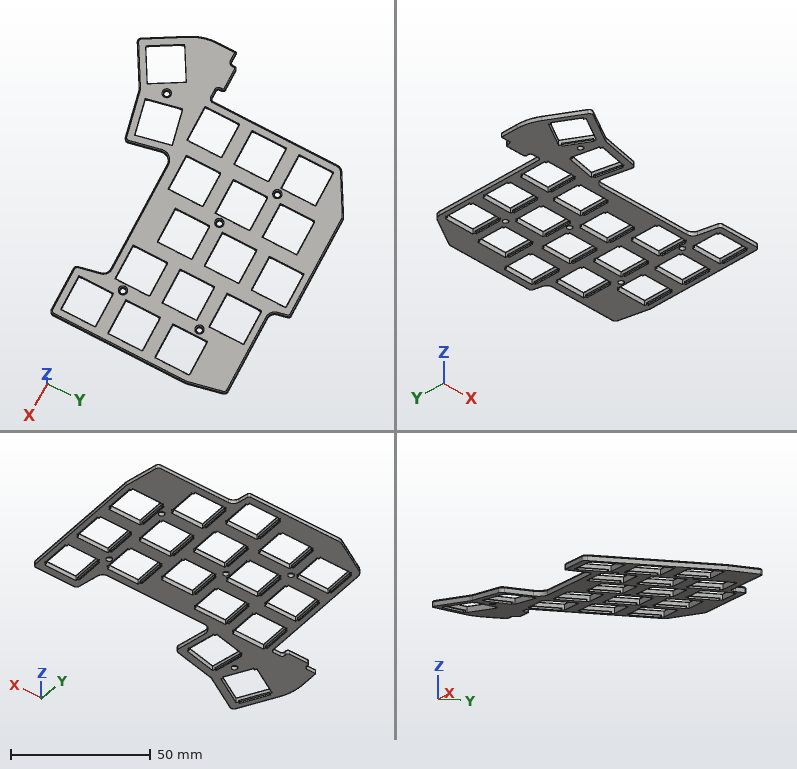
import cadquery as cq
import math


plate_length = 116.2
plate_depth = 95.9
plate_thickness = 2.2
edge_chamfer = 0.5

key_pitch = 19.0
key_opening = 14.0
clip_notch_length = 12.0
clip_notch_depth = 0.8
clip_lip_thickness = 1.5
key_margin = 10.0
rows = 3
column_drops = [8.0, 5.6, 0.0, 7.1, key_pitch]

last_column_x = plate_length - key_margin
first_column_x = last_column_x - (len(column_drops) - 1) * key_pitch
top_key_y = plate_depth - key_margin
column_xs = [first_column_x + i * key_pitch for i in range(len(column_drops))]
column_tops = [top_key_y - drop for drop in column_drops]
column_bottoms = [top - (rows - 1) * key_pitch for top in column_tops]

sharp = 0.0
tab_radius = 1.0
corner_radius = 1.5
bend_radius = 3.0
inner_bend_radius = 3.5
joint_radius = 4.0
thumb_side_radius = 20.0

side_tilt = 12.0
thumb_tilt = 30.0
tilt_reach = math.sin(math.radians(thumb_tilt)) + math.cos(math.radians(thumb_tilt))
outer_thumb_y = (key_margin - corner_radius) * tilt_reach + corner_radius
outer_thumb = (15.7, outer_thumb_y, thumb_tilt)
inner_thumb = (35.8, 20.7, side_tilt)

shelf_y = 33.5
tab_top_y = 36.3
tab_left_x = 4.9
tab_right_x = 14.9

upper_left_slope_y = 86.6
top_edge_right_x = 77.5
upper_right_x = 113.1
lower_right_x = 96.6

screw_diameter = 2.3
thumb_screw = (25.1, 18.4)


def thumb_corner(key, side):
    """Plate corner below a tilted thumb key; side is -1 for left, 1 for right."""
    x, y, tilt = key
    angle = math.radians(tilt)
    local_x = side * key_margin
    local_y = -key_margin
    return (
        x + local_x * math.cos(angle) - local_y * math.sin(angle),
        y + local_x * math.sin(angle) + local_y * math.cos(angle),
    )


def sloped_x(point, y):
    """X at height y on the side edge through point, tilted like the inner thumb key."""
    return point[0] - (y - point[1]) * math.tan(math.radians(side_tilt))


def thumb_joint(left_corner, right_corner):
    """Point where the edges below the two thumb keys meet."""
    left_slope = math.tan(math.radians(thumb_tilt))
    right_slope = math.tan(math.radians(side_tilt))
    left_rise = left_corner[1] - left_slope * left_corner[0]
    right_rise = right_corner[1] - right_slope * right_corner[0]
    x = (right_rise - left_rise) / (left_slope - right_slope)
    return (x, left_rise + left_slope * x)


def outline_corners():
    """Corners as (point, radius), counter-clockwise from the thumb cluster's lowest corner."""
    wall_x = first_column_x - key_margin
    lower_edge_y = column_bottoms[3] - key_margin
    right_bottom_y = column_bottoms[4] - key_margin
    step_y = column_tops[3] + key_margin
    slope_rise = plate_depth - upper_left_slope_y
    slope_end_x = wall_x + slope_rise / math.tan(math.radians(thumb_tilt))
    right_slope_drop = (plate_length - upper_right_x) / math.tan(math.radians(side_tilt))

    thumb_low = thumb_corner(outer_thumb, -1)
    thumb_right = thumb_corner(inner_thumb, 1)
    thumb_side_y = thumb_low[1] + thumb_low[0] / math.tan(math.radians(thumb_tilt))
    lower_right = (lower_right_x, right_bottom_y)
    top_right = (top_edge_right_x, plate_depth)

    return [
        (thumb_low, corner_radius),
        (thumb_joint(thumb_low, thumb_right), joint_radius),
        (thumb_right, corner_radius),
        ((sloped_x(thumb_right, lower_edge_y), lower_edge_y), inner_bend_radius),
        ((sloped_x(lower_right, lower_edge_y), lower_edge_y), bend_radius),
        (lower_right, corner_radius),
        ((plate_length, right_bottom_y), corner_radius),
        ((plate_length, step_y - right_slope_drop), sharp),
        ((upper_right_x, step_y), corner_radius),
        ((sloped_x(top_right, step_y), step_y), bend_radius),
        (top_right, tab_radius),
        ((slope_end_x, plate_depth), bend_radius),
        ((wall_x, upper_left_slope_y), bend_radius),
        ((wall_x, shelf_y), tab_radius),
        ((tab_right_x, shelf_y), tab_radius),
        ((tab_right_x, tab_top_y), tab_radius),
        ((tab_left_x, tab_top_y), tab_radius),
        ((tab_left_x, shelf_y), tab_radius),
        ((0, shelf_y), sharp),
        ((0, thumb_side_y), thumb_side_radius),
    ]


def rounded_corner(before, corner, after, radius):
    """Start, middle and end of the arc that rounds a corner."""
    corner = cq.Vector(*corner)
    toward_before = (cq.Vector(*before) - corner).normalized()
    toward_after = (cq.Vector(*after) - corner).normalized()
    half_angle = toward_before.getAngle(toward_after) / 2
    setback = radius / math.tan(half_angle)
    middle_distance = radius / math.sin(half_angle) - radius
    bisector = (toward_before + toward_after).normalized()
    return (
        corner + toward_before * setback,
        corner + bisector * middle_distance,
        corner + toward_after * setback,
    )


def rounded_outline(corners):
    """Closed outline along the corners, each rounded to its own radius; the first is not sharp."""
    points = [point for point, _ in corners]
    first_radius = corners[0][1]
    first_start = rounded_corner(points[-1], points[0], points[1], first_radius)[0]
    outline = cq.Workplane("XY").moveTo(first_start.x, first_start.y)
    for i, (point, radius) in enumerate(corners):
        if radius == sharp:
            outline = outline.lineTo(*point)
            continue
        after = points[(i + 1) % len(points)]
        start, middle, end = rounded_corner(points[i - 1], point, after, radius)
        if i > 0:
            outline = outline.lineTo(start.x, start.y)
        outline = outline.threePointArc((middle.x, middle.y), (end.x, end.y))
    return outline.close()


def screw_positions():
    """Screws sit between two columns, level with a gap between two keys of one column."""
    half_pitch = key_pitch / 2
    return [
        (column_xs[0] + half_pitch, column_tops[1] - half_pitch),
        (column_xs[1] + half_pitch, column_bottoms[2] + half_pitch),
        (column_xs[3] + half_pitch, column_tops[3] - half_pitch),
        (column_xs[3] + half_pitch, column_bottoms[4] + half_pitch),
        thumb_screw,
    ]


def key_cutter(x, y, tilt=0.0):
    """Square switch opening, with clip notches under the lips of its left and right walls."""
    opening = cq.Workplane("XY").rect(key_opening, key_opening).extrude(plate_thickness)
    notched_width = key_opening + 2 * clip_notch_depth
    notch_height = plate_thickness - clip_lip_thickness
    notches = cq.Workplane("XY").rect(notched_width, clip_notch_length).extrude(notch_height)
    return opening.union(notches).rotate((0, 0, 0), (0, 0, 1), tilt).translate((x, y, 0))


plate = rounded_outline(outline_corners()).extrude(plate_thickness)
screws = cq.Workplane("XY").pushPoints(screw_positions()).circle(screw_diameter / 2)
plate = plate.cut(screws.extrude(plate_thickness))
plate = plate.faces(">Z").edges().chamfer(edge_chamfer)

for column_x, column_top in zip(column_xs, column_tops):
    for row in range(rows):
        plate = plate.cut(key_cutter(column_x, column_top - row * key_pitch))
for thumb_key in (outer_thumb, inner_thumb):
    plate = plate.cut(key_cutter(*thumb_key))

result = plate